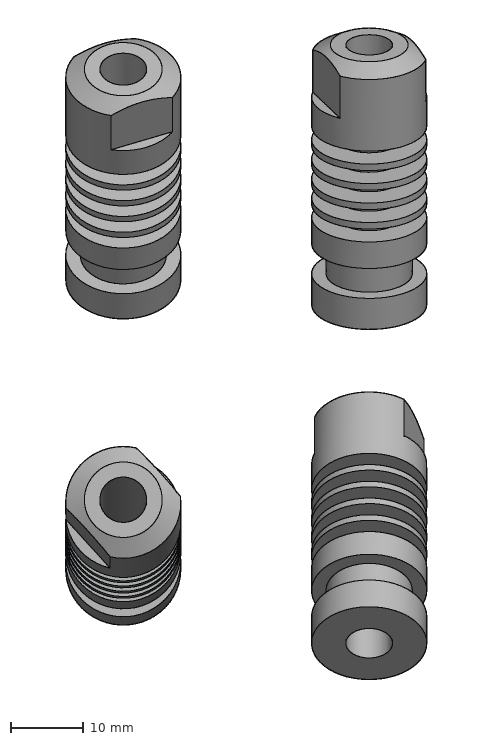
import cadquery as cq
import math

total_height = 40
body_diameter = 16
bore_diameter = 6.5

base_flange_height = 4.8
wide_groove_diameter = 12
wide_groove_top = 9.4

neck_diameter = 8.75
neck_bottom = 13.5
fin_count = 4
fin_thickness = 1.0
fin_gap = 2
fin_pitch = fin_thickness + fin_gap

flats_bottom = 32
width_across_flats = 13.05
top_face_diameter = 10.8
cone_angle = 30
cone_run = (body_diameter - top_face_diameter) / 2
cone_height = cone_run * math.tan(math.radians(cone_angle))


def ring_groove(bottom, height, core_diameter):
    """Ring of material to remove, leaving a core of the given diameter."""
    return (
        cq.Workplane("XY")
        .workplane(offset=bottom)
        .circle(body_diameter)
        .circle(core_diameter / 2)
        .extrude(height)
    )


def body_blank():
    """Cylinder with a conical top, centred on Z."""
    radius = body_diameter / 2
    return (
        cq.Workplane("XZ")
        .moveTo(0, 0)
        .lineTo(radius, 0)
        .lineTo(radius, total_height - cone_height)
        .lineTo(top_face_diameter / 2, total_height)
        .lineTo(0, total_height)
        .close()
        .revolve(360, (0, 0, 0), (0, 1, 0))
    )


def flat_cutter(side):
    """Block outside one wrench flat; side is -1 or +1 along X."""
    center_x = side * (width_across_flats + body_diameter) / 2
    return (
        cq.Workplane("XY")
        .workplane(offset=flats_bottom)
        .center(center_x, 0)
        .rect(body_diameter, body_diameter)
        .extrude(total_height - flats_bottom)
    )


result = body_blank()

wide_groove_height = wide_groove_top - base_flange_height
result = result.cut(ring_groove(base_flange_height, wide_groove_height, wide_groove_diameter))

for index in range(fin_count + 1):
    groove_bottom = neck_bottom + index * fin_pitch
    result = result.cut(ring_groove(groove_bottom, fin_gap, neck_diameter))

for side in (-1, 1):
    result = result.cut(flat_cutter(side))

bore = cq.Workplane("XY").circle(bore_diameter / 2).extrude(total_height)
result = result.cut(bore)